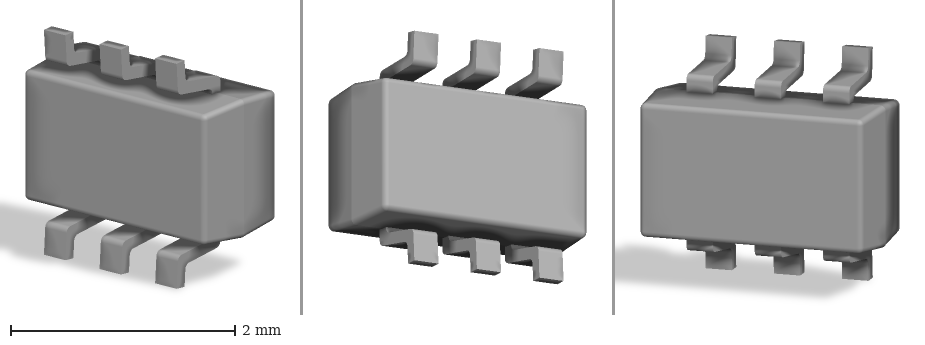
import cadquery as cq
import math

body_length = 2.2
body_height = 1.3
body_depth = 1.0
draft_angle = 5.0
body_rounding = 0.05

lead_count = 3
lead_pitch = 0.65
lead_width = 0.25
lead_thickness = 0.11
bend_radius = 0.055
arm_angle = 6.1
foot_angle = 4.0
overall_height = 2.12
standoff = 0.048
arm_height = 0.75


def body_half(direction):
    """Drafted half of the body on one side of the parting plane (-1: front, +1: back)."""
    half = (
        cq.Workplane("XZ")
        .rect(body_length, body_height)
        .extrude(body_depth / 2, taper=draft_angle)
        .edges("not >Y")
        .fillet(body_rounding)
    )
    return half if direction < 0 else half.mirror("XZ")


def lead_profile():
    """Corner points (Y, Z) of an upper lead, before its bends are rounded."""
    half_thickness = lead_thickness / 2
    root_z = body_height / 4
    arm = math.radians(arm_angle)
    foot = math.radians(foot_angle)

    tip_front_y = -(body_depth / 2 + standoff)
    tip_back_z = overall_height / 2
    tip_front = (tip_front_y, tip_back_z - lead_thickness * math.sin(foot))
    tip_back = (tip_front_y + lead_thickness * math.cos(foot), tip_back_z)

    def arm_line(y, side):
        return arm_height - y * math.tan(arm) + side * half_thickness / math.cos(arm)

    def foot_corner(tip, side):
        """Point where the foot edge through the given tip corner meets an edge of the arm."""
        tip_y, tip_z = tip
        length = (tip_z - arm_line(tip_y, side)) / (math.cos(foot) + math.sin(foot) * math.tan(arm))
        return (tip_y + length * math.sin(foot), tip_z - length * math.cos(foot))

    return [
        (half_thickness, root_z),
        (half_thickness, arm_line(half_thickness, 1)),
        foot_corner(tip_back, 1),
        tip_back,
        tip_front,
        foot_corner(tip_front, -1),
        (-half_thickness, arm_line(-half_thickness, -1)),
        (-half_thickness, root_z),
    ]


def upper_lead(x):
    """Lead centred at x, rooted inside the body and leaving through its top."""
    blank = cq.Workplane("YZ").polyline(lead_profile()).close().extrude(lead_width / 2, both=True)
    bends = blank.edges("|X").sort(lambda edge: edge.Center().z)[2:-2]
    return bends.fillet(bend_radius).translate((x, 0, 0))


result = body_half(-1).union(body_half(1))
for index in range(lead_count):
    lead = upper_lead((index - (lead_count - 1) / 2) * lead_pitch)
    result = result.union(lead).union(lead.mirror("XY"))